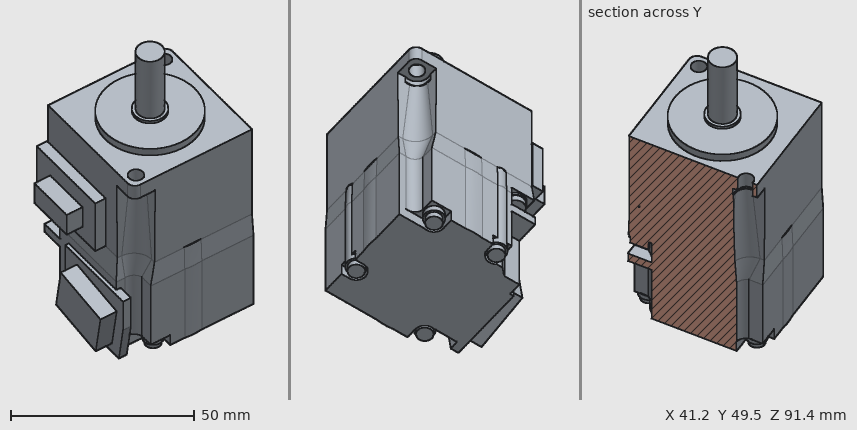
import cadquery as cq
import math


SHAFT_DIA = 8.0
SHAFT_TOP = 25.0
COLLAR_DIA = 10.0
COLLAR_TOP = 3.4
PILOT_DIA = 30.0
PILOT_TOP = 2.5

HOUSING_SIDE = 40.0
FLANGE_BOTTOM = -5.0
FLANGE_CORNER_RADIUS = 2.5
BOLT_HOLE_DIA = 4.5
BOLT_CIRCLE_DIA = 46.0
SPOT_FACE_RADIUS = 3.88
SPOT_FACE_BOTTOM = -7.2

TAPER_TOP = -32.1
TAPER_BOTTOM = -40.1
BASE = -66.4
FLARE = 0.3
FRONT_FLARE = 0.97
BULGE_RADIUS = 20.5

SCREW_HEAD_RADIUS = 3.05
SCREW_TIP_RADIUS = 2.42
SCREW_BORE_RADIUS = 3.15
SCREW_SEAT = -62.6
SCREW_HEAD_BOTTOM = -64.5
BOSS_REACH = 20.68
BOSS_OFFSET = 9.75
INNER_SCREW = (16.65, 10.8)

RECESS_WALL_X = 13.6
RECESS_WALL_Y = 14.2
RECESS_ARC_X = 16.0
RECESS_ARC_Y = 18.15

POCKET_WALL = 13.0
POCKET_TOP = -37.7
RIB_TOP = -44.85
RIB_BOTTOM = -47.85
POCKET_FLAT_END = 16.0
POCKET_BEVEL_OUTER = 15.15
POCKET_BEVEL_INNER = 13.6
POCKET_BOLT_PLACE = 16.8
POCKET_BOLT_RADIUS = 2.9
POCKET_BOLT_COLLAR_RADIUS = 3.15
POCKET_BOLT_COLLAR_BOTTOM = -38.5
POCKET_BOLT_BOTTOM = -40.6

UPPER_PLATE_X = (-20.4, 7.2)
UPPER_PLATE_TOP = -13.95
UPPER_PLATE_FACE = -23.5
UPPER_PLUG_X = (-14.0, 1.25)
UPPER_PLUG_Z = (-27.55, -20.05)
LOWER_PLATE_X = (-8.8, 18.45)
LOWER_PLATE_TOP = -43.2
LOWER_PLATE_BEND = -53.9
LOWER_PLATE_BASE_RIGHT = 16.5
LOWER_PLATE_BACK = -19.5
LOWER_PLATE_FACE = -22.15
LOWER_PLUG_CENTER = (4.97, -54.7)
LOWER_PLUG_SIZE = (19.0, 14.1)
LOWER_PLUG_TILT = -9.1
LOWER_PLUG_FACE = -27.6
OVERALL_DEPTH = 49.5

HALF = HOUSING_SIDE / 2
COVER_HALF = HALF + FLARE
BOSS_CENTER = BOSS_REACH - SCREW_HEAD_RADIUS
UPPER_PLUG_FACE = BOSS_REACH - OVERALL_DEPTH
BOLT_PLACE = BOLT_CIRCLE_DIA / 2 * math.cos(math.radians(45))
OUTSIDE = HALF + 5.0


def box(x_range, y_range, z_range):
    """Box between the given pairs of limits."""
    size = [limits[1] - limits[0] for limits in (x_range, y_range, z_range)]
    corner = (x_range[0], y_range[0], z_range[0])
    return cq.Workplane("XY").box(*size, centered=False).translate(corner)


def cylinder(radius, z_low, z_high, place=(0, 0)):
    """Upright cylinder between two heights."""
    return cq.Workplane("XY", origin=(*place, z_low)).circle(radius).extrude(z_high - z_low)


def half_turn(shape):
    return shape.rotate((0, 0, 0), (0, 0, 1), 180)


def ruled_loft(wires):
    return cq.Workplane(cq.Solid.makeLoft(wires, True))


def rectangle_wire(x_half, y_low, y_high, z):
    points = [(-x_half, y_low), (x_half, y_low), (x_half, y_high), (-x_half, y_high)]
    return cq.Wire.makePolygon([cq.Vector(x, y, z) for x, y in points], close=True)


def circle_wire(radius, x, y, z):
    return cq.Wire.makeCircle(radius, cq.Vector(x, y, z), cq.Vector(0, 0, 1))


def housing():
    """Square front housing; the two corners with bolt holes are rounded."""
    block = box((-HALF, HALF), (-HALF, HALF), (TAPER_TOP, 0))
    for side in (1, -1):
        corner = cq.selectors.NearestToPointSelector((side * HALF, -side * HALF, TAPER_TOP / 2))
        block = block.edges(corner).fillet(FLANGE_CORNER_RADIUS)
    return block


def rear_cover():
    """Flared square cover, with a round bulge and two screw bosses showing through its sides."""
    front = -HALF - FRONT_FLARE
    cover = box((-COVER_HALF, COVER_HALF), (front, COVER_HALF), (BASE, TAPER_BOTTOM))
    cover = cover.union(ruled_loft([
        rectangle_wire(HALF, -HALF, HALF, TAPER_TOP),
        rectangle_wire(COVER_HALF, front, COVER_HALF, TAPER_BOTTOM),
    ]))
    bulge = cylinder(BULGE_RADIUS, BASE, TAPER_BOTTOM).union(ruled_loft([
        circle_wire(BULGE_RADIUS - FLARE, 0, 0, TAPER_TOP),
        circle_wire(BULGE_RADIUS, 0, 0, TAPER_BOTTOM),
    ]))
    flat_front = box((-OUTSIDE, OUTSIDE), (-OUTSIDE, -HALF), (BASE, TAPER_TOP))
    cover = cover.union(bulge.cut(flat_front))
    for x, y, inset_x, inset_y in (
        (-BOSS_CENTER, -BOSS_OFFSET, FLARE, 0),
        (BOSS_OFFSET, BOSS_CENTER, 0, -FLARE),
    ):
        cover = cover.union(cylinder(SCREW_HEAD_RADIUS, SCREW_SEAT, TAPER_BOTTOM, (x, y)))
        cover = cover.union(ruled_loft([
            circle_wire(SCREW_HEAD_RADIUS, x + inset_x, y + inset_y, TAPER_TOP),
            circle_wire(SCREW_HEAD_RADIUS, x, y, TAPER_BOTTOM),
        ]))
    return cover


def corner_section(z, wall_x, wall_y, arc_x, arc_y, splay):
    """Section of the bolt corner recess: two walls, splayed outward, joined by an arc."""
    arc_share = 1 - math.cos(math.radians(45))
    arc_start = cq.Vector(wall_x, -arc_y, z)
    arc_middle = cq.Vector(
        wall_x + arc_share * (arc_x - wall_x),
        -wall_y - arc_share * (arc_y - wall_y),
        z,
    )
    arc_end = cq.Vector(arc_x, -wall_y, z)
    straight = [
        arc_end,
        cq.Vector(OUTSIDE, splay - wall_y, z),
        cq.Vector(OUTSIDE, -OUTSIDE, z),
        cq.Vector(wall_x - splay, -OUTSIDE, z),
        arc_start,
    ]
    edges = [cq.Edge.makeThreePointArc(arc_start, arc_middle, arc_end)]
    edges += [cq.Edge.makeLine(a, b) for a, b in zip(straight, straight[1:])]
    return cq.Wire.assembleEdges(edges)


def bolt_corner_recess():
    """Recess under the flange at the +X -Y corner, following the taper down to the screw seat."""
    at_flange = dict(wall_x=12.7, wall_y=12.7, arc_x=16.0, arc_y=16.0, splay=0.5)
    at_taper_top = dict(wall_x=12.8, wall_y=12.8, arc_x=18.65, arc_y=18.65, splay=0.5)
    at_cover = dict(
        wall_x=RECESS_WALL_X,
        wall_y=RECESS_WALL_Y,
        arc_x=RECESS_ARC_X,
        arc_y=RECESS_ARC_Y,
        splay=0.0,
    )
    levels = (
        (FLANGE_BOTTOM, at_flange),
        (TAPER_TOP, at_taper_top),
        (TAPER_BOTTOM, at_cover),
        (SCREW_SEAT, at_cover),
    )
    sections = [corner_section(z, **shape) for z, shape in levels]
    recess = cylinder(SPOT_FACE_RADIUS, SPOT_FACE_BOTTOM, FLANGE_BOTTOM, (BOLT_PLACE, -BOLT_PLACE))
    for upper, lower in zip(sections, sections[1:]):
        recess = recess.union(ruled_loft([upper, lower]))
    return recess


def pocket():
    """Corner pocket at -X -Y with a bevelled inner corner, open at the base."""
    section = [
        (-OUTSIDE, -POCKET_WALL),
        (-POCKET_FLAT_END, -POCKET_WALL),
        (-POCKET_BEVEL_OUTER, -POCKET_BEVEL_INNER),
        (-POCKET_BEVEL_INNER, -POCKET_BEVEL_OUTER),
        (-POCKET_WALL, -POCKET_FLAT_END),
        (-POCKET_WALL, -OUTSIDE),
        (-OUTSIDE, -OUTSIDE),
    ]
    return cq.Workplane("XY", origin=(0, 0, BASE)).polyline(section).close().extrude(POCKET_TOP - BASE)


def pocket_fittings():
    """Cross rib of the pocket and the bolt head hanging from its ceiling."""
    place = (-POCKET_BOLT_PLACE, -POCKET_BOLT_PLACE)
    rib = box(
        (-COVER_HALF, -POCKET_WALL),
        (-HALF - FRONT_FLARE, -POCKET_WALL),
        (RIB_BOTTOM, RIB_TOP),
    )
    head = cylinder(POCKET_BOLT_RADIUS, POCKET_BOLT_BOTTOM, POCKET_TOP, place)
    collar = cylinder(POCKET_BOLT_COLLAR_RADIUS, POCKET_BOLT_COLLAR_BOTTOM, POCKET_TOP, place)
    return rib.union(head).union(collar)


def screw_slot(place, turn):
    """Round-ended slot for a screw head, running out through the side that `turn` points to from +X."""
    slot = cylinder(SCREW_BORE_RADIUS, BASE, SCREW_SEAT)
    slot = slot.union(box((0, OUTSIDE), (-SCREW_BORE_RADIUS, SCREW_BORE_RADIUS), (BASE, SCREW_SEAT)))
    return slot.rotate((0, 0, 0), (0, 0, 1), turn).translate((*place, 0))


def screw_head(place):
    """Two-step screw head standing from its seat down to the base."""
    head = cylinder(SCREW_HEAD_RADIUS, SCREW_HEAD_BOTTOM, SCREW_SEAT, place)
    return head.union(cylinder(SCREW_TIP_RADIUS, BASE, SCREW_SEAT, place))


def upper_connector():
    plate = box(UPPER_PLATE_X, (UPPER_PLATE_FACE, -HALF), (TAPER_TOP, UPPER_PLATE_TOP))
    return plate.union(box(UPPER_PLUG_X, (UPPER_PLUG_FACE, UPPER_PLATE_FACE), UPPER_PLUG_Z))


def lower_connector():
    """Cover plate with a drawn-in right edge, carrying a tilted plug."""
    left, right = LOWER_PLATE_X
    outline = [
        (left, BASE),
        (left, LOWER_PLATE_TOP),
        (right, LOWER_PLATE_TOP),
        (right, LOWER_PLATE_BEND),
        (LOWER_PLATE_BASE_RIGHT, BASE),
    ]
    plate = cq.Workplane("XZ", origin=(0, LOWER_PLATE_BACK, 0)).polyline(outline).close()
    plate = plate.extrude(LOWER_PLATE_BACK - LOWER_PLATE_FACE)
    x, z = LOWER_PLUG_CENTER
    plug = cq.Workplane("XZ", origin=(x, LOWER_PLATE_FACE, z))
    plug = plug.transformed(rotate=(0, 0, LOWER_PLUG_TILT)).rect(*LOWER_PLUG_SIZE)
    return plate.union(plug.extrude(LOWER_PLATE_FACE - LOWER_PLUG_FACE))


def motor():
    body = housing().union(rear_cover())

    recess = bolt_corner_recess()
    body = body.cut(recess).cut(half_turn(recess))
    for side in (1, -1):
        place = (side * BOLT_PLACE, -side * BOLT_PLACE)
        body = body.cut(cylinder(BOLT_HOLE_DIA / 2, FLANGE_BOTTOM, 0, place))

    body = body.cut(pocket()).union(pocket_fittings())

    inner_x, inner_y = INNER_SCREW
    screws = (
        ((-BOSS_CENTER, -BOSS_OFFSET), 180),
        ((BOSS_OFFSET, BOSS_CENTER), 90),
        ((inner_x, -inner_y), 0),
        ((-inner_x, inner_y), 180),
    )
    seat_levels = (BASE, SCREW_SEAT)
    opening = box((RECESS_WALL_X, OUTSIDE), (-OUTSIDE, -inner_y), seat_levels)
    body = body.cut(opening).cut(half_turn(opening))
    body = body.cut(box((-OUTSIDE, -POCKET_BEVEL_OUTER), (-OUTSIDE, -BOSS_OFFSET), seat_levels))
    for place, turn in screws:
        body = body.cut(screw_slot(place, turn)).union(screw_head(place))

    body = body.union(upper_connector()).union(lower_connector())
    body = body.union(cylinder(PILOT_DIA / 2, 0, PILOT_TOP))
    body = body.union(cylinder(COLLAR_DIA / 2, 0, COLLAR_TOP))
    return body.union(cylinder(SHAFT_DIA / 2, 0, SHAFT_TOP))


result = motor()